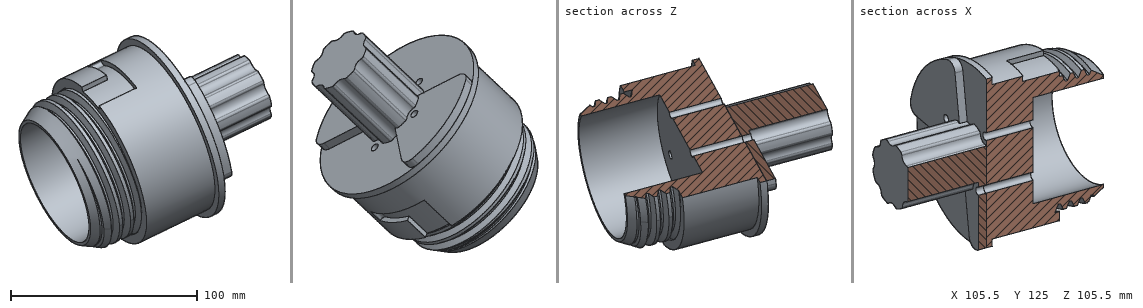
import cadquery as cq
import math


NECK_LENGTH = 28.0
BODY_LENGTH = 43.0
FLANGE_THICKNESS = 4.0
PAD_THICKNESS = 5.0
SHAFT_LENGTH = 50.0
BODY_START = NECK_LENGTH
FLANGE_START = BODY_START + BODY_LENGTH
FLANGE_BACK = FLANGE_START + FLANGE_THICKNESS

FLANGE_RADIUS = 52.75
BODY_RADIUS = 48.75
CAVITY_RADIUS = 35.25
CAVITY_DEPTH = 45.0

THREAD_CREST_RADIUS = 43.0
THREAD_ROOT_RADIUS = 39.5
THREAD_PITCH = 7.0
THREAD_ROOT_WIDTH = 1.2
THREAD_FLANK_ANGLE = 28.0
THREAD_START = -2.0
THREAD_TURNS = 4.6
THREAD_CUTTER_OVERREACH = 0.4
NECK_TIP_RADIUS = 37.0
NECK_TAPER_ANGLE = 30.0

SLOT_COUNT = 2
SLOT_DEPTH = 3.0
SLOT_START_ANGLE = 90.0
SLOT_ENTRY_SPAN = 21.5
SLOT_TRAVEL_SPAN = 48.8
SLOT_WIDTH = 8.0
SLOT_LIP = 15.5
SLOT_END_FILLET = 2.5
SLOT_OVERCUT = 1.0

CLOCKING = -1.25
SHAFT_RADIUS = 19.2
SPLINE_COUNT = 8
SPLINE_GROOVE_RADIUS = 5.0
SPLINE_EDGE_FILLET = 2.0

HOLE_COUNT = 4
HOLE_CIRCLE_RADIUS = 22.0
HOLE_DIAMETER = 4.6
HOLE_START_ANGLE = 45.0 + CLOCKING

PAD_COUNT = 2
PAD_SPAN = 75.0
PAD_CENTRE_ANGLE = 45.0 + CLOCKING
PAD_CORNER_FILLET = 6.0


def cross_section(y):
    """Workplane across the axis at height y; extrude a negative length to go towards +Y."""
    return cq.Workplane("XZ", origin=(0, y, 0))


def disc(radius, y, length):
    return cross_section(y).circle(radius).extrude(-length)


def polar(radius, angle):
    return (radius * math.cos(math.radians(angle)), radius * math.sin(math.radians(angle)))


def sector(radius, start_angle, span, y, length):
    """Pie slice of a disc."""
    return (
        cross_section(y)
        .lineTo(*polar(radius, start_angle))
        .threePointArc(polar(radius, start_angle + span / 2), polar(radius, start_angle + span))
        .close()
        .extrude(-length)
    )


def spun(shape, angle):
    """Turn a shape about the part axis from +X towards +Z."""
    return shape.rotate((0, 0, 0), (0, -1, 0), angle)


def thread_groove():
    """Helical trapezoidal groove, running from off the tip until it bites slightly into the body face.

    It is modelled around local Z and laid onto the Y axis.
    """
    outer_radius = THREAD_CREST_RADIUS + THREAD_CUTTER_OVERREACH
    root_half = THREAD_ROOT_WIDTH / 2
    outer_half = root_half + (outer_radius - THREAD_ROOT_RADIUS) * math.tan(math.radians(THREAD_FLANK_ANGLE))
    helix = cq.Wire.makeHelix(THREAD_PITCH, THREAD_PITCH * THREAD_TURNS, THREAD_ROOT_RADIUS)
    profile = cq.Workplane("XZ").polyline([
        (THREAD_ROOT_RADIUS, -root_half),
        (outer_radius, -outer_half),
        (outer_radius, outer_half),
        (THREAD_ROOT_RADIUS, root_half),
    ]).close()
    groove = profile.sweep(cq.Workplane(helix), isFrenet=True).translate((0, 0, THREAD_START))
    return groove.rotate((0, 0, 0), (1, 0, 0), -90)


def neck_blank():
    """Plain neck with a tapered tip."""
    taper_length = (THREAD_CREST_RADIUS - NECK_TIP_RADIUS) / math.tan(math.radians(NECK_TAPER_ANGLE))
    return (
        cq.Workplane("XY")
        .polyline([
            (0, 0),
            (NECK_TIP_RADIUS, 0),
            (THREAD_CREST_RADIUS, taper_length),
            (THREAD_CREST_RADIUS, NECK_LENGTH),
            (0, NECK_LENGTH),
        ])
        .close()
        .revolve(360, (0, 0, 0), (0, 1, 0))
    )


def bayonet_slot():
    """L-shaped slot: an axial entry from the body's front face, then a travel around the body."""
    floor_radius = BODY_RADIUS - SLOT_DEPTH
    reach = BODY_RADIUS + SLOT_OVERCUT
    travel_start = BODY_START + SLOT_LIP
    entry = sector(reach, SLOT_START_ANGLE, SLOT_ENTRY_SPAN, BODY_START, SLOT_LIP + SLOT_WIDTH)
    entry = entry.cut(disc(floor_radius, BODY_START, SLOT_LIP + SLOT_WIDTH))
    travel = sector(reach, SLOT_START_ANGLE, SLOT_TRAVEL_SPAN, travel_start, SLOT_WIDTH)
    travel = travel.cut(disc(floor_radius, travel_start, SLOT_WIDTH))
    end_x, end_z = polar(floor_radius, SLOT_START_ANGLE + SLOT_TRAVEL_SPAN)
    end_edge = cq.selectors.NearestToPointSelector((end_x, travel_start + SLOT_WIDTH / 2, end_z))
    travel = travel.edges("|Y").edges(end_edge).fillet(SLOT_END_FILLET)
    return entry.union(travel)


def flange_pad():
    """Pie-shaped pad flush with the flange rim, with rounded outer corners."""
    start = PAD_CENTRE_ANGLE - PAD_SPAN / 2
    pad = sector(FLANGE_RADIUS, start, PAD_SPAN, FLANGE_BACK, PAD_THICKNESS)
    for angle in (start, start + PAD_SPAN):
        corner_x, corner_z = polar(FLANGE_RADIUS, angle)
        corner = cq.selectors.NearestToPointSelector((corner_x, FLANGE_BACK + PAD_THICKNESS / 2, corner_z))
        pad = pad.edges("|Y").edges(corner).fillet(PAD_CORNER_FILLET)
    return pad


def drill_bolt_holes(body):
    """Drill the bolt circle through the whole thickness of a body."""
    for index in range(HOLE_COUNT):
        hole_x, hole_z = polar(HOLE_CIRCLE_RADIUS, HOLE_START_ANGLE + index * 360 / HOLE_COUNT)
        hole = (
            cross_section(0)
            .center(hole_x, hole_z)
            .circle(HOLE_DIAMETER / 2)
            .extrude(-(FLANGE_BACK + PAD_THICKNESS))
        )
        body = body.cut(hole)
    return body


def build_shaft():
    """Splined shaft and its pads, standing on the flange: a round bar with rounded grooves along it."""
    bar = disc(SHAFT_RADIUS, FLANGE_BACK, SHAFT_LENGTH)
    groove_x, groove_z = polar(HOLE_CIRCLE_RADIUS, CLOCKING)
    groove = (
        cross_section(FLANGE_BACK)
        .center(groove_x, groove_z)
        .circle(SPLINE_GROOVE_RADIUS)
        .extrude(-SHAFT_LENGTH)
    )
    for index in range(SPLINE_COUNT):
        bar = bar.cut(spun(groove, index * 360 / SPLINE_COUNT))
    shaft = bar.edges("|Y").fillet(SPLINE_EDGE_FILLET)
    for index in range(PAD_COUNT):
        shaft = shaft.union(spun(flange_pad(), index * 360 / PAD_COUNT))
    return drill_bolt_holes(shaft)


def build_housing():
    """Threaded neck, slotted body and flange, bored from the neck end."""
    housing = neck_blank()
    housing = housing.union(disc(BODY_RADIUS, BODY_START, BODY_LENGTH))
    housing = housing.union(disc(FLANGE_RADIUS, FLANGE_START, FLANGE_THICKNESS))
    housing = housing.cut(thread_groove())
    for index in range(SLOT_COUNT):
        housing = housing.cut(spun(bayonet_slot(), index * 360 / SLOT_COUNT))
    housing = housing.cut(disc(CAVITY_RADIUS, 0, CAVITY_DEPTH))
    return drill_bolt_holes(housing)


shaft = build_shaft()
housing = build_housing()
result = cq.Compound.makeCompound([housing.val(), shaft.val()])